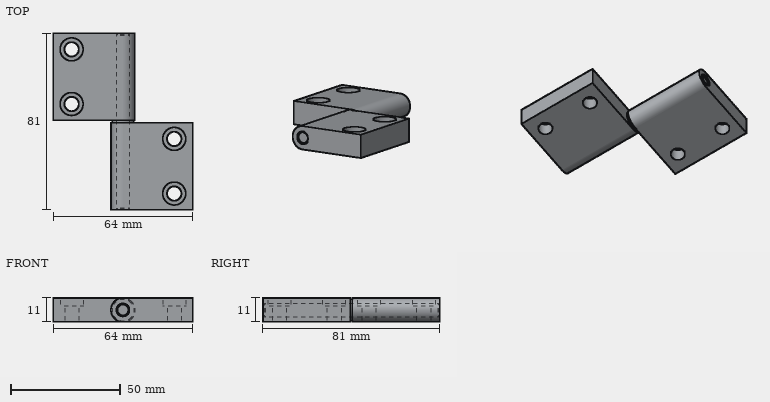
import cadquery as cq

total_length = 81.0
thickness = 11.0
leaf_reach = 32.0
washer_thickness = 1.0
washer_diameter = 10.0
pin_diameter = 6.0
pin_chamfer = 0.5
pin_recess = 0.5
screw_hole_diameter = 6.5
counterbore_diameter = 10.5
counterbore_depth = 3.5
screw_spacing = 25.0
screw_offset = 23.5

knuckle_radius = thickness / 2
leaf_length = (total_length - washer_thickness) / 2
leaf_center_y = (washer_thickness + leaf_length) / 2
pin_length = total_length - 2 * pin_recess


def cylinder_on_axis(diameter, length):
    """Cylinder along the hinge axis, centred on the origin."""
    return cq.Workplane("XZ", origin=(0, length / 2, 0)).circle(diameter / 2).extrude(length)


def make_leaf(side):
    """Leaf with a rounded knuckle; side is +1 for +X and -Y, -1 for -X and +Y."""
    center_y = -side * leaf_center_y
    leaf = (
        cq.Workplane("XZ", origin=(0, center_y + leaf_length / 2, 0))
        .moveTo(0, knuckle_radius)
        .lineTo(side * leaf_reach, knuckle_radius)
        .lineTo(side * leaf_reach, -knuckle_radius)
        .lineTo(0, -knuckle_radius)
        .threePointArc((-side * knuckle_radius, 0), (0, knuckle_radius))
        .close()
        .extrude(leaf_length)
    )
    leaf = leaf.cut(cylinder_on_axis(pin_diameter, total_length))
    return (
        leaf.copyWorkplane(cq.Workplane("XY", origin=(side * screw_offset, center_y, knuckle_radius)))
        .rarray(0.8, screw_spacing, 1, 2)
        .cboreHole(screw_hole_diameter, counterbore_diameter, counterbore_depth)
    )


def make_washer():
    """Spacer ring between the two knuckles."""
    ring = cylinder_on_axis(washer_diameter, washer_thickness)
    return ring.cut(cylinder_on_axis(pin_diameter, washer_thickness))


def make_pin():
    """Hinge pin through both knuckles, chamfered at both ends."""
    return cylinder_on_axis(pin_diameter, pin_length).faces("<Y or >Y").chamfer(pin_chamfer)


leaves = [make_leaf(side) for side in (-1, 1)]
washer = make_washer()
pin = make_pin()

result = cq.Compound.makeCompound([*(leaf.val() for leaf in leaves), washer.val(), pin.val()])